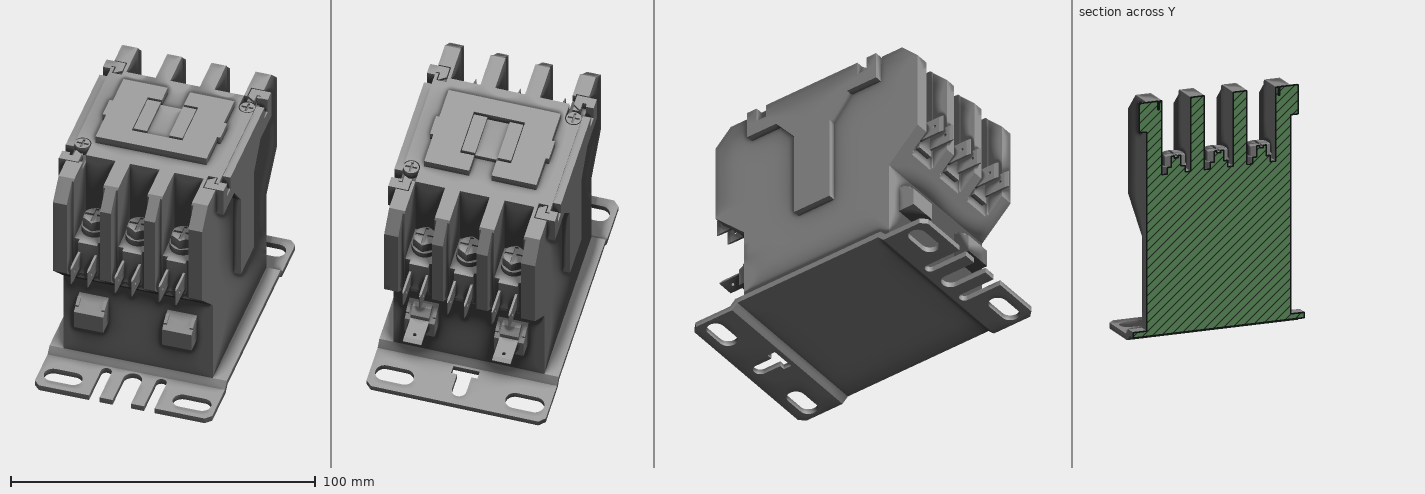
import cadquery as cq
import math

overall_length = 95.4
base_width = 61.0
overall_height = 85.1

plate_thickness = 2.0
plate_lift = 2.1
lift_start_y = 29.6
lift_run = 2.2
underside_setback = 0.9
base_corner = 2.0
mount_slot_length = 13.1
mount_slot_width = 6.3
mount_slot_x = 22.1
mount_slot_y = 41.2
finger_slot_width = 3.6
finger_slot_x = 9.4
middle_slot_width = mount_slot_width
finger_slot_end_y = 32.6
rear_slot_width = 4.9
rear_slot_outer_y = 44.4
rear_slot_inner_y = finger_slot_end_y
rear_slot_head_width = 9.0
rear_slot_head_y = 35.6

housing_half_x = 25.7
housing_lower_y = 29.6
housing_upper_y = 41.3
label_height = 2.8
housing_top = overall_height - label_height
flare_bottom_z = 35.3
flare_top_z = 46.7
top_chamfer = 6.3

pole_pitch = 15.2
poles = (-pole_pitch, 0.0, pole_pitch)
channel_width = 10.1
channel_back_y = 22.2
channel_floor_z = 57.05
block_front_y = housing_upper_y - top_chamfer
wide_channel_width = 11.45
wide_channel_y = 35.7

strap_width = 6.5
strap_front_y = 36.7
strap_bottom_z = 44.1
blade_thickness = 0.8
blade_bottom_z = 46.7
blade_top_z = 53.0
blade_tip_y = 46.2
blade_taper = 1.5
blade_tip_thickness = 0.3
pin_hole = 1.2
blade_hole_y = 42.8

screw_y = 28.6
washer_diameter = 8.9
washer_height = 2.2
head_across_flats = 7.1
head_height = 3.7
head_chamfer_angle = 30.0
cross_width = 1.1
cross_length = 6.7
cross_depth = 0.8

cover_outer_x = 28.3
cover_half_y = 26.3
cover_shoulder_z = 72.1
cover_neck_top_y = 14.5
cover_neck_z = 63.3
cover_leg_y = 7.25
cover_bottom_z = 31.4
hook_inner_x = 21.7
hook_width = 2.6
hook_return_y = 20.8
hook_arm_width = 2.7
hook_arm_y = cover_half_y - hook_arm_width
notch_inner_y = 18.7
notch_outer_y = 22.4
notch_depth = 5.15
notch_floor_z = housing_top - notch_depth
cover_edge_drop = 0.4
hook_gap = 0.4
hook_tip_cut_x = 2.2
hook_tip_cut_y = 1.5
hook_tip_step = 1.0
square_hook_tip = [(hook_inner_x, hook_return_y)]

pocket_depth = 3.0
pocket_floor_z = housing_top - pocket_depth
pocket_inner_x = pole_pitch + channel_width / 2
front_pocket_end_y = 25.9
cover_screw_diameter = 5.1
cover_screw_x = 23.1
cover_screw_y = 16.8
pocket_radius = 2.9
cover_cross_width = 0.8
cover_cross_length = 4.0

label_half_x = 19.1
label_half_y = 15.4
label_tab_x = 20.2
label_tab_y = 3.8
label_neck_x = 3.8
label_window_x = 8.7
label_window_y = 8.8
actuator_y = 7.7
actuator_gap = 0.3
actuator_middle_z = 83.95

coil_width = channel_width
coil_front_y = 35.7
coil_bottom_z = 19.5
coil_edge_z = 25.95
coil_top_z = 29.6
coil_pad_width = 1.1
coil_pad_height = 0.7
coil_pad_inner_y = 31.2
coil_pad_outer_y = 34.1
spade_width = 6.3
spade_thickness = 0.7
spade_bottom_z = 25.9
spade_tip_y = 45.1
spade_taper = 1.5
spade_tip_thickness = 0.3
spade_hole_y = 41.8
spade_inner_y = 30.8
spade_crest_y = 32.8
spade_crest_z = 30.0
spade_root_y = 35.3
spade_shoulder_z = 28.1


def box(x0, x1, y0, y1, z0, z1):
    """Box between two corner coordinates."""
    return cq.Workplane("XY").box(x1 - x0, y1 - y0, z1 - z0, centered=False).translate((x0, y0, z0))


def profile_along_x(points, x0, x1):
    """Extrude a closed (y, z) outline from x0 to x1."""
    return cq.Workplane("YZ").polyline(points).close().extrude(x1 - x0).translate((x0, 0, 0))


def mirrored(points):
    """Complete a right-hand (y, z) outline with its mirror image."""
    return points + [(-y, z) for y, z in reversed(points)]


def front_and_rear(shape):
    """Rear shape united with its mirror image at the front."""
    return shape.union(shape.mirror("XZ"))


def make_base():
    """Bent mounting plate with corner slots, open front slots and a T-shaped rear slot."""
    flat_y = lift_start_y + lift_run
    raised_top = plate_lift + plate_thickness
    half = overall_length / 2
    upper = [(half, 0), (half, plate_thickness), (flat_y, plate_thickness), (lift_start_y, raised_top)]
    lower = [(flat_y - underside_setback, 0), (lift_start_y - underside_setback, plate_lift)]
    outline = mirrored(upper) + [(-y, z) for y, z in lower] + list(reversed(lower))
    base = profile_along_x(outline, -base_width / 2, base_width / 2)
    base = base.edges("|Z").edges("<Y or >Y").chamfer(base_corner)
    corners = [(sx * mount_slot_x, sy * mount_slot_y) for sx in (-1, 1) for sy in (-1, 1)]
    mount_slots = cq.Workplane("XY").pushPoints(corners).slot2D(mount_slot_length, mount_slot_width)
    base = base.cut(mount_slots.extrude(plate_thickness))
    finger_slots = (
        (-finger_slot_x, finger_slot_width),
        (0, middle_slot_width),
        (finger_slot_x, finger_slot_width),
    )
    for x, width in finger_slots:
        centre_y = -finger_slot_end_y - width / 2
        base = base.cut(box(x - width / 2, x + width / 2, -half, centre_y, 0, plate_thickness))
        base = base.cut(cq.Workplane("XY").center(x, centre_y).circle(width / 2).extrude(plate_thickness))
    rear_half = rear_slot_width / 2
    rear_centre_y = rear_slot_outer_y - rear_half
    head_half = rear_slot_head_width / 2
    base = base.cut(box(-rear_half, rear_half, rear_slot_inner_y, rear_centre_y, 0, plate_thickness))
    base = base.cut(cq.Workplane("XY").center(0, rear_centre_y).circle(rear_half).extrude(plate_thickness))
    return base.cut(box(-head_half, head_half, rear_slot_inner_y, rear_slot_head_y, 0, plate_thickness))


def make_housing():
    """Flared housing with three terminal channels at each end."""
    side = [
        (housing_lower_y, plate_lift + plate_thickness),
        (housing_lower_y, flare_bottom_z),
        (housing_upper_y, flare_top_z),
        (housing_upper_y, housing_top - top_chamfer),
        (housing_upper_y - top_chamfer, housing_top),
    ]
    housing = profile_along_x(mirrored(side), -housing_half_x, housing_half_x)
    narrow = channel_width / 2
    wide = wide_channel_width / 2
    channel = box(-narrow, narrow, channel_back_y, housing_upper_y, channel_floor_z, housing_top)
    channel = channel.union(box(-narrow, narrow, block_front_y, housing_upper_y, flare_bottom_z, housing_top))
    channel = channel.union(box(-wide, wide, wide_channel_y, housing_upper_y, flare_bottom_z, housing_top))
    channels = front_and_rear(channel)
    for x in poles:
        housing = housing.cut(channels.translate((x, 0, 0)))
    return housing


def cross_cutter(width, length, depth, top_z):
    """Cross-shaped cutter for a screw slot reaching down from top_z."""
    bar = cq.Workplane("XY").box(length, width, depth, centered=(True, True, False))
    return bar.union(bar.rotate((0, 0, 0), (0, 0, 1), 90)).translate((0, 0, top_z - depth))


def make_blades():
    """Pair of drilled spade blades standing on edge, tapered at the tips."""
    outer = strap_width / 2
    inner = outer - blade_thickness
    tip_middle = (outer + inner) / 2
    taper_y = blade_tip_y - blade_taper
    outline = [
        (outer, block_front_y),
        (outer, taper_y),
        (tip_middle + blade_tip_thickness / 2, blade_tip_y),
        (tip_middle - blade_tip_thickness / 2, blade_tip_y),
        (inner, taper_y),
        (inner, block_front_y),
    ]
    blade = cq.Workplane("XY").workplane(offset=blade_bottom_z).polyline(outline).close()
    blade = blade.extrude(blade_top_z - blade_bottom_z)
    hole_z = (blade_bottom_z + blade_top_z) / 2
    hole = cq.Workplane("YZ").center(blade_hole_y, hole_z).circle(pin_hole / 2)
    return blade.union(blade.mirror("YZ")).cut(hole.extrude(strap_width, both=True))


def make_terminal_screw():
    """Hexagonal, cone-chamfered, cross-slotted head on a round washer, standing on z = 0."""
    washer = cq.Workplane("XY").circle(washer_diameter / 2).extrude(washer_height)
    head = cq.Workplane("XY").polygon(6, head_across_flats / math.cos(math.pi / 6)).extrude(head_height)
    head = head.rotate((0, 0, 0), (0, 0, 1), 30)
    cone_angle = 90 - head_chamfer_angle
    cone_radius = head_across_flats / 2 + head_height * math.tan(math.radians(cone_angle))
    cone = cq.Workplane("XY").circle(cone_radius).extrude(head_height, taper=cone_angle)
    head = head.intersect(cone).cut(cross_cutter(cross_width, cross_length, cross_depth, head_height))
    return washer.union(head.translate((0, 0, washer_height)))


def make_terminal():
    """Front and rear terminals of one pole: strap, blades and screw."""
    half = strap_width / 2
    strap = box(-half, half, block_front_y, strap_front_y, strap_bottom_z, channel_floor_z)
    screw = make_terminal_screw().translate((0, screw_y, channel_floor_z))
    return front_and_rear(strap.union(make_blades()).union(screw))


def make_cover():
    """Cover on the +X side, hooked over the housing top at both ends."""
    side = [
        (cover_leg_y, cover_bottom_z),
        (cover_leg_y, cover_neck_z),
        (cover_neck_top_y, cover_shoulder_z),
        (cover_half_y, cover_shoulder_z),
        (cover_half_y, housing_top),
    ]
    cover = profile_along_x(mirrored(side), housing_half_x, cover_outer_x)
    notch = box(housing_half_x, cover_outer_x, notch_inner_y, notch_outer_y, notch_floor_z, housing_top)
    edge_z = housing_top - cover_edge_drop
    edge = box(housing_half_x, cover_outer_x, -notch_inner_y, notch_inner_y, edge_z, housing_top)
    return cover.cut(front_and_rear(notch)).cut(edge)


def hook_outline(finger_tip):
    """Outline of the +X, +Y hook: an arm over the housing and a finger ending in the given tip points."""
    finger_outer_x = hook_inner_x + hook_width
    points = [(housing_half_x, cover_half_y), (hook_inner_x, cover_half_y)]
    points += finger_tip
    points += [(finger_outer_x, hook_return_y), (finger_outer_x, hook_arm_y), (housing_half_x, hook_arm_y)]
    return cq.Workplane("XY").workplane(offset=pocket_floor_z).polyline(points).close()


def make_hook():
    """Hook of the cover at the +X, +Y corner; the inner corner of the finger tip is stepped down."""
    bevelled_tip = [
        (hook_inner_x, hook_return_y + hook_tip_cut_y),
        (hook_inner_x + hook_tip_cut_x, hook_return_y),
    ]
    lower = hook_outline(square_hook_tip).extrude(pocket_depth - hook_tip_step)
    return lower.union(hook_outline(bevelled_tip).extrude(pocket_depth))


def make_hook_recess():
    """Clearance in the housing around the hook at the +X, +Y corner."""
    outline = hook_outline(square_hook_tip).offset2D(hook_gap, "intersection")
    return outline.extrude(pocket_depth)


def make_screw_pocket(end_y):
    """Pocket for the cover screw at the +X, +Y corner, running out to end_y."""
    pocket = box(pocket_inner_x, housing_half_x, cover_screw_y, end_y, pocket_floor_z, housing_top)
    round_end = cq.Workplane("XY").center(cover_screw_x, cover_screw_y).circle(pocket_radius)
    return pocket.union(round_end.extrude(pocket_depth).translate((0, 0, pocket_floor_z)))


def make_cover_screw():
    """Round cross-slotted screw in the pocket at the +X, +Y corner."""
    screw = cq.Workplane("XY").circle(cover_screw_diameter / 2).extrude(pocket_depth)
    screw = screw.translate((0, 0, pocket_floor_z))
    screw = screw.cut(cross_cutter(cover_cross_width, cover_cross_length, cross_depth, housing_top))
    return screw.translate((cover_screw_x, cover_screw_y, 0))


def make_label():
    """Raised top plate with a T-shaped opening around a grooved actuator."""
    label = box(-label_half_x, label_half_x, -label_half_y, label_half_y, housing_top, overall_height)
    label = label.union(box(-label_tab_x, label_tab_x, -label_tab_y, label_tab_y, housing_top, overall_height))
    label = label.cut(box(-label_neck_x, label_neck_x, 0, label_half_y, housing_top, overall_height))
    window = cq.Workplane("XY").workplane(offset=housing_top).rect(2 * label_window_x, 2 * label_window_y)
    label = label.cut(window.extrude(label_height))
    side_x = label_window_x - actuator_gap
    label = label.union(box(-side_x, side_x, -actuator_y, actuator_y, housing_top, overall_height))
    groove = box(-label_neck_x, label_neck_x, -actuator_y, actuator_y, actuator_middle_z, overall_height)
    return label.cut(groove)


def coil_slope_z(y):
    """Height of the sloping top of a coil block at distance y from the middle."""
    slope = (coil_edge_z - coil_top_z) / (coil_front_y - housing_lower_y)
    return coil_top_z + slope * (y - housing_lower_y)


def make_coil_block():
    """Coil block with a sloping top and a small raised pad at each side."""
    outline = [
        (housing_lower_y, coil_bottom_z),
        (coil_front_y, coil_bottom_z),
        (coil_front_y, coil_edge_z),
        (housing_lower_y, coil_top_z),
    ]
    half = coil_width / 2
    block = profile_along_x(outline, -half, half)
    inner_z = coil_slope_z(coil_pad_inner_y)
    outer_z = coil_slope_z(coil_pad_outer_y)
    pad = [
        (coil_pad_inner_y, coil_edge_z),
        (coil_pad_outer_y, coil_edge_z),
        (coil_pad_outer_y, outer_z + coil_pad_height),
        (coil_pad_inner_y, inner_z + coil_pad_height),
    ]
    block = block.union(profile_along_x(pad, -half, -half + coil_pad_width))
    return block.union(profile_along_x(pad, half - coil_pad_width, half))


def make_spade():
    """Rear coil spade: a humped root on the block slope with a flat tongue below it."""
    half = spade_width / 2
    spade_top_z = spade_bottom_z + spade_thickness
    outline = [
        (spade_inner_y, spade_bottom_z),
        (spade_tip_y, spade_bottom_z),
        (spade_tip_y, spade_bottom_z + spade_tip_thickness),
        (spade_tip_y - spade_taper, spade_top_z),
        (spade_root_y, spade_top_z),
        (spade_root_y, spade_shoulder_z),
        (spade_crest_y, spade_crest_z),
        (spade_inner_y, spade_crest_z),
    ]
    hole = cq.Workplane("XY").center(0, spade_hole_y).circle(pin_hole / 2).extrude(overall_height)
    return profile_along_x(outline, -half, half).cut(hole)


result = make_base().union(make_housing())
result = result.cut(make_screw_pocket(channel_back_y))
result = result.cut(make_screw_pocket(front_pocket_end_y).rotate((0, 0, 0), (0, 0, 1), 180))
recesses = front_and_rear(make_hook_recess())
result = result.cut(recesses).cut(recesses.mirror("YZ"))
for x in poles:
    result = result.union(make_terminal().translate((x, 0, 0)))
cover = make_cover().union(front_and_rear(make_hook()))
result = result.union(cover).union(cover.mirror("YZ"))
for turn in (0, 180):
    result = result.union(make_cover_screw().rotate((0, 0, 0), (0, 0, 1), turn))
result = result.union(make_label())
for x in (-pole_pitch, pole_pitch):
    result = result.union(front_and_rear(make_coil_block()).union(make_spade()).translate((x, 0, 0)))